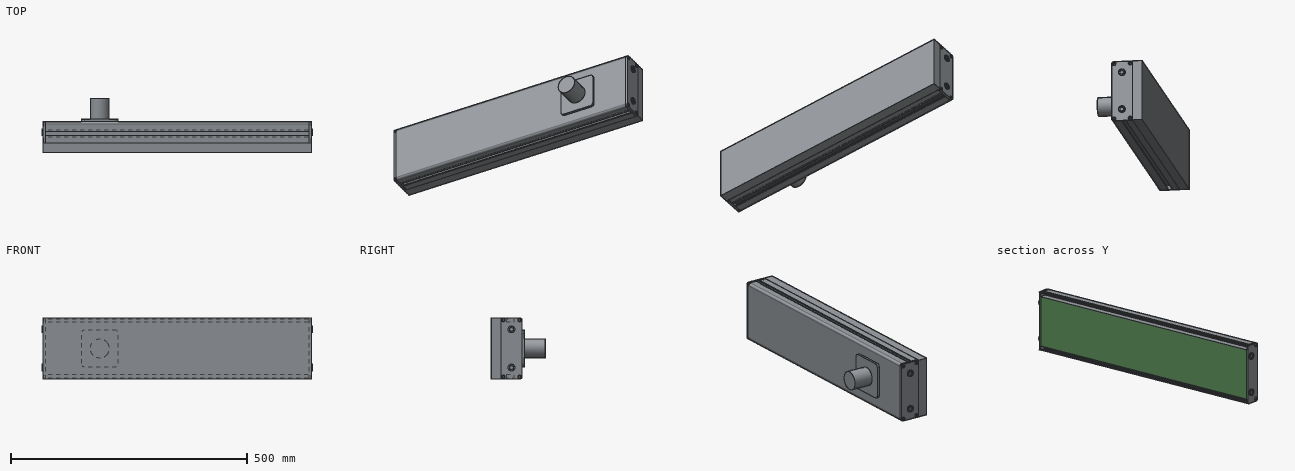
import cadquery as cq

total_length = 574.0
height = 130.0
total_depth = 115.0

cover_depth = 20.5
housing_depth = 45.0
edge_round = 5.0

cap_thickness = 5.0
head_height = 2.5
head_diameter = 14.5
socket_size = 9.0
socket_depth = 2.0
head_spacing = 81.0

counterbore_diameter = 7.5
counterbore_depth = 1.0
corner_hole_diameter = 5.0
corner_hole_spacing_y = 34.5
corner_hole_spacing_z = 120.5

slot_mouth_width = 8.5
slot_lip = 2.5
slot_inner_width = 15.0
slot_inner_height = 7.0

flange_size = 78.0
flange_thickness = 5.0
flange_corner_radius = 7.0
spigot_diameter = 40.0
spigot_offset = 120.5

body_length = total_length - 2 * head_height
housing_length = body_length - 2 * cap_thickness
housing_back = cover_depth + housing_depth
housing_mid = cover_depth + housing_depth / 2
slot_mid = cover_depth + (housing_depth - edge_round) / 2
spigot_x = spigot_offset - body_length / 2
spigot_length = total_depth - housing_back - flange_thickness


def block(length, depth, front):
    """Full-height block centred on X and Z, with its front face at Y = front."""
    return cq.Workplane("XY").box(length, depth, height).translate((0, front + depth / 2, 0))


def profile_block(length):
    """Block with the housing's cross-section: its two rear long edges are rounded."""
    return block(length, housing_depth, cover_depth).edges("|X and >Y").fillet(edge_round)


def make_cover():
    """Plain slab closing the front of the housing."""
    return block(body_length, cover_depth, 0)


def make_slot():
    """Cutter for the T-slot along the top face of the housing."""
    slot_depth = slot_lip + slot_inner_height
    on_floor = (True, True, False)
    mouth = cq.Workplane("XY").box(housing_length, slot_mouth_width, slot_depth, centered=on_floor)
    inner = cq.Workplane("XY").box(housing_length, slot_inner_width, slot_inner_height, centered=on_floor)
    return mouth.union(inner).translate((0, slot_mid, height / 2 - slot_depth))


def make_housing():
    """Extruded profile with a T-slot along its top and bottom faces."""
    slot = make_slot()
    return profile_block(housing_length).cut(slot).cut(slot.mirror("XY"))


def make_screw_head():
    """Cylindrical head standing on the +X cap at Z = 0, with a hexagon socket whose corners point along Z."""
    head = (
        cq.Workplane("YZ", origin=(body_length / 2, housing_mid, 0))
        .circle(head_diameter / 2)
        .extrude(head_height)
    )
    socket = (
        head.faces(">X").workplane()
        .transformed(rotate=(0, 0, 90))
        .polygon(6, socket_size)
        .extrude(-socket_depth, combine=False)
    )
    return head.cut(socket)


def corner_cylinders(diameter, depth):
    """Four cylinders going into the outer face of the +X cap, one at each corner."""
    return (
        cq.Workplane("YZ", origin=(body_length / 2, housing_mid, 0))
        .rarray(corner_hole_spacing_y, corner_hole_spacing_z, 2, 2)
        .circle(diameter / 2)
        .extrude(-depth)
    )


def make_end_cap(side):
    """End cap on the +X (side = 1) or -X (side = -1) end, with counterbored corner holes and screw heads."""
    outer_face = body_length / 2
    cap = profile_block(cap_thickness).translate((outer_face - cap_thickness / 2, 0, 0))
    cap = (
        cap.cut(corner_cylinders(corner_hole_diameter, cap_thickness))
        .cut(corner_cylinders(counterbore_diameter, counterbore_depth))
    )
    head = make_screw_head()
    for end in (-1, 1):
        cap = cap.union(head.translate((0, 0, end * head_spacing / 2)))
    return cap if side > 0 else cap.mirror("YZ")


def make_mount():
    """Square flange with rounded corners, carrying a round spigot."""
    back_face = cq.Workplane("XZ", origin=(spigot_x, housing_back, 0))
    flange = back_face.rect(flange_size, flange_size).extrude(-flange_thickness)
    flange = flange.edges("|Y").fillet(flange_corner_radius)
    spigot = (
        back_face.workplane(offset=-flange_thickness)
        .circle(spigot_diameter / 2)
        .extrude(-spigot_length)
    )
    return flange.union(spigot)


cover = make_cover()
housing = make_housing()
end_caps = [make_end_cap(side) for side in (-1, 1)]
mount = make_mount()

result = cq.Compound.makeCompound(
    [cover.val(), housing.val(), *[cap.val() for cap in end_caps], mount.val()]
)